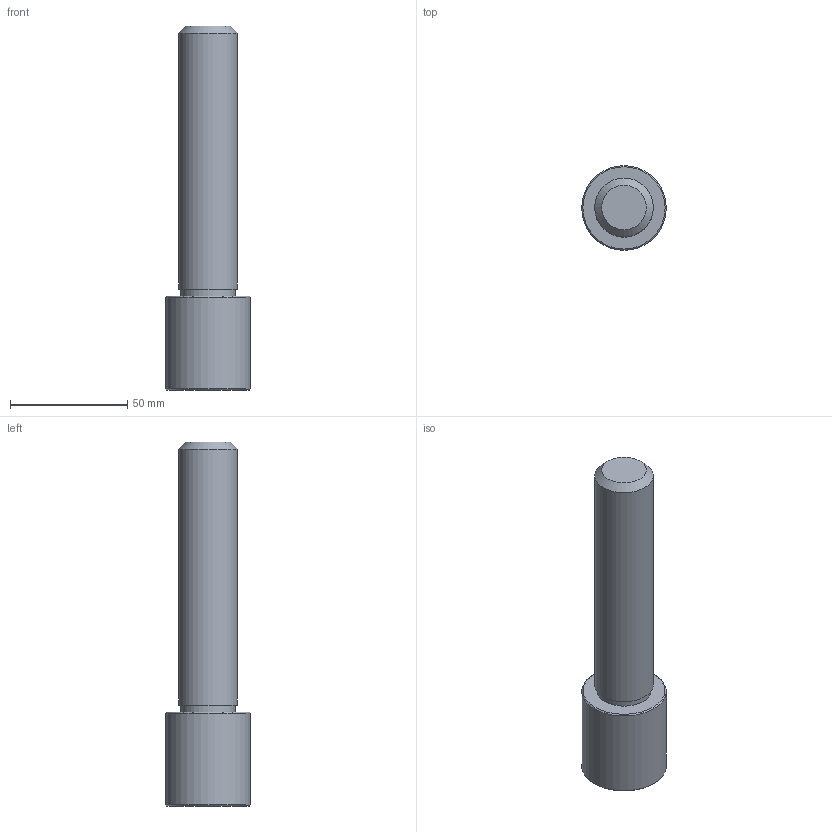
import cadquery as cq

head_diameter = 36.0
head_height = 40.0
head_chamfer = 0.5

neck_diameter = 23.0
neck_height = 3.0

shank_diameter = 25.0
overall_length = 155.0
tip_chamfer = 3.0


def cylinder(diameter, bottom, top):
    """Cylinder on the Z axis between two heights."""
    return cq.Workplane("XY").workplane(offset=bottom).circle(diameter / 2).extrude(top - bottom)


def make_head():
    head = cylinder(head_diameter, 0, head_height)
    return head.edges("%CIRCLE").chamfer(head_chamfer)


def make_neck():
    return cylinder(neck_diameter, head_height, head_height + neck_height)


def make_shank():
    shank = cylinder(shank_diameter, head_height + neck_height, overall_length)
    return shank.faces(">Z").edges().chamfer(tip_chamfer)


result = make_head().union(make_neck()).union(make_shank())